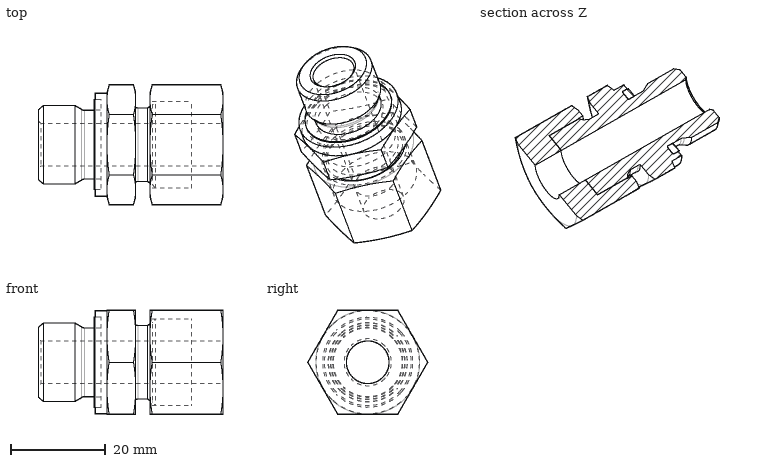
import cadquery as cq
import math


overall_length = 39.0
entry_chamfer_end = 1.0
thread_end = 7.72
neck_blend_start = 9.1
neck_blend_end = 9.7
seal_face = 11.7
flange_face = 11.97
hex_face = 14.45
hex_end = 20.55
relief_blend_end = 21.05
spigot_cone_start = 23.05
nut_face = 23.55
spigot_end = 32.37

bore_radius = 4.5
bore_mouth_radius = 5.0
entry_radius = 7.4
thread_radius = 8.3
neck_radius = 7.3
seal_radius = 9.5
flange_radius = 10.92
relief_radius = 7.8
spigot_cone_radius = 8.4
spigot_radius = 9.15

across_flats = 22.0
corner_radius = across_flats / 2 / math.cos(math.pi / 6)
corner_chamfer_length = 0.45

runout_angle = math.radians(30)
spigot_chamfer_angle = math.radians(50)
blend_radius = 1.25
seal_groove_depth = 1.25


def revolve_about_x(outline):
    """Turn a closed outline, drawn as (x, radius), into a solid of revolution about X."""
    return outline.close().revolve(360, (0, 0, 0), (1, 0, 0))


def cylinder_along_x(start, end, radius):
    return cq.Workplane("YZ", origin=(start, 0, 0)).circle(radius).extrude(end - start)


def chamfered_hexagon(start, end):
    """Hexagonal bar with corners along +Y and -Y, turned to a cone at both ends."""
    bar = cq.Workplane("YZ", origin=(start, 0, 0)).polygon(6, 2 * corner_radius).extrude(end - start)
    turned_envelope = revolve_about_x(
        cq.Workplane("XY")
        .moveTo(start, 0)
        .lineTo(start, across_flats / 2)
        .lineTo(start + corner_chamfer_length, corner_radius)
        .lineTo(end - corner_chamfer_length, corner_radius)
        .lineTo(end, across_flats / 2)
        .lineTo(end, 0)
    )
    return bar.intersect(turned_envelope)


def blend_height(distance):
    """Rise of the blend arc above the cylinder it is tangent to, at an axial distance from it."""
    return blend_radius - math.sqrt(blend_radius**2 - distance**2)


def threaded_end():
    """Chamfered entry cylinder, conical thread runout and neck, up to the flange."""
    blend_length = neck_blend_end - neck_blend_start
    blend_middle = neck_blend_end - blend_length / 2
    blend_start_radius = thread_radius - (neck_blend_start - thread_end) * math.tan(runout_angle)
    return revolve_about_x(
        cq.Workplane("XY")
        .lineTo(0, entry_radius)
        .lineTo(entry_chamfer_end, thread_radius)
        .lineTo(thread_end, thread_radius)
        .lineTo(neck_blend_start, blend_start_radius)
        .threePointArc(
            (blend_middle, neck_radius + blend_height(blend_length / 2)),
            (neck_blend_end, neck_radius),
        )
        .lineTo(hex_face, neck_radius)
        .lineTo(hex_face, 0)
    )


def spigot():
    """Relief groove behind the hexagon, then two cones rising to the end held in the nut."""
    cone_end = spigot_cone_start + (spigot_cone_radius - relief_radius) / math.tan(runout_angle)
    chamfer_end = cone_end + (spigot_radius - spigot_cone_radius) / math.tan(spigot_chamfer_angle)
    blend_length = relief_blend_end - hex_end
    blend_middle = relief_blend_end - blend_length / 2
    return revolve_about_x(
        cq.Workplane("XY")
        .moveTo(hex_end, 0)
        .lineTo(hex_end, relief_radius + blend_height(blend_length))
        .threePointArc(
            (blend_middle, relief_radius + blend_height(blend_length / 2)),
            (relief_blend_end, relief_radius),
        )
        .lineTo(spigot_cone_start, relief_radius)
        .lineTo(cone_end, spigot_cone_radius)
        .lineTo(chamfer_end, spigot_radius)
        .lineTo(spigot_end, spigot_radius)
        .lineTo(spigot_end, 0)
    )


def flange():
    """Round flange with a groove in its face for the seal ring."""
    disc = cylinder_along_x(flange_face, hex_face, flange_radius)
    groove = cylinder_along_x(flange_face, flange_face + seal_groove_depth, seal_radius)
    return disc.cut(groove)


def stud_bore():
    """Through bore with a chamfered mouth at the entry face."""
    mouth_depth = bore_mouth_radius - bore_radius
    return revolve_about_x(
        cq.Workplane("XY")
        .lineTo(0, bore_mouth_radius)
        .lineTo(mouth_depth, bore_radius)
        .lineTo(spigot_end, bore_radius)
        .lineTo(spigot_end, 0)
    )


def make_stud():
    outside = threaded_end().union(flange()).union(chamfered_hexagon(hex_face, hex_end)).union(spigot())
    return outside.cut(stud_bore())


def make_seal_ring():
    """Flat ring around the neck, standing slightly proud of the flange face."""
    groove_floor = flange_face + seal_groove_depth
    disc = cylinder_along_x(seal_face, groove_floor, seal_radius)
    return disc.cut(cylinder_along_x(seal_face, groove_floor, neck_radius))


def make_nut():
    """Hexagonal nut with a recess for the spigot and a bore through its end wall."""
    nut_body = chamfered_hexagon(nut_face, overall_length)
    spigot_recess = cylinder_along_x(nut_face, spigot_end, spigot_radius)
    end_bore = cylinder_along_x(spigot_end, overall_length, bore_radius)
    return nut_body.cut(spigot_recess).cut(end_bore)


stud = make_stud()
seal_ring = make_seal_ring()
nut = make_nut()

result = cq.Compound.makeCompound([stud.solids().val(), seal_ring.solids().val(), nut.solids().val()])